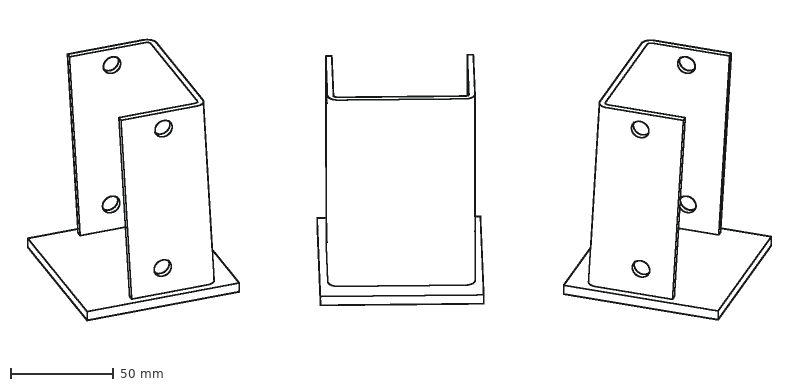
import cadquery as cq

plate_side = 80.0
plate_thickness = 5.0
total_height = 106

channel_width = 72.3
channel_depth = 44.9
wall = 3.0
inner_bend_radius = 2.0
outer_bend_radius = inner_bend_radius + wall
back_y_at_base = 29.9
lean = 5.6

hole_diameter = 9.0
upper_hole = (1.7, 96.9)
lower_hole = (1.3, 19.1)


def leaning_block(width, back_y, depth, bend_radius):
    """Sheared block with level ends and rounded back corners."""
    front_y = back_y - depth
    return (
        cq.Workplane("YZ")
        .moveTo(front_y, plate_thickness)
        .lineTo(back_y, plate_thickness)
        .lineTo(back_y - lean, total_height)
        .lineTo(front_y - lean, total_height)
        .close()
        .extrude(width / 2, both=True)
        .faces(">Y")
        .edges("<X or >X")
        .fillet(bend_radius)
    )


def make_channel():
    outside = leaning_block(channel_width, back_y_at_base, channel_depth, outer_bend_radius)
    inside = leaning_block(
        channel_width - 2 * wall, back_y_at_base - wall, channel_depth, inner_bend_radius
    )
    return outside.cut(inside)


def make_cross_holes():
    return (
        cq.Workplane("YZ")
        .pushPoints([upper_hole, lower_hole])
        .circle(hole_diameter / 2)
        .extrude(channel_width, both=True)
    )


plate = cq.Workplane("XY").box(plate_side, plate_side, plate_thickness, centered=(True, True, False))
result = plate.union(make_channel().cut(make_cross_holes()))